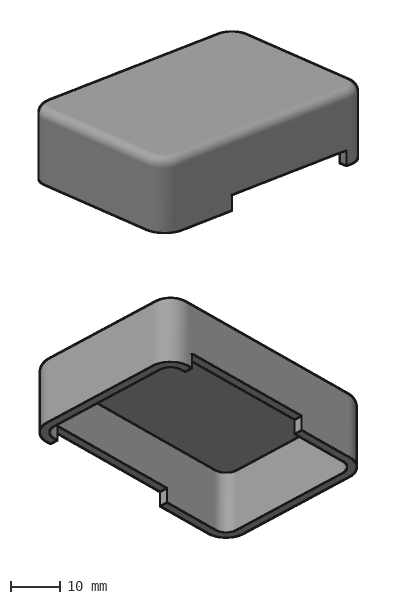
import cadquery as cq

width = 40.0
length = 57.0
height = 16.5
corner_radius = 5.0
top_fillet = 2.0

wall = 2.0
inner_corner_radius = corner_radius - wall

notch_back = 22.35
notch_front = -9.45
notch_height = 3.5


def rounded_block(size_x, size_y, size_z, radius):
    """Block standing on Z = 0 with rounded vertical edges."""
    block = cq.Workplane("XY").box(size_x, size_y, size_z, centered=(True, True, False))
    return block.edges("|Z").fillet(radius)


def side_notch():
    """Cutter that passes through both long walls."""
    return cq.Workplane("XY").box(
        width, notch_back - notch_front, notch_height, centered=(True, False, False)
    ).translate((0, notch_front, 0))


shell = rounded_block(width, length, height, corner_radius).faces(">Z").edges().fillet(top_fillet)
cavity = rounded_block(width - 2 * wall, length - 2 * wall, height - wall, inner_corner_radius)

result = shell.cut(cavity).cut(side_notch())